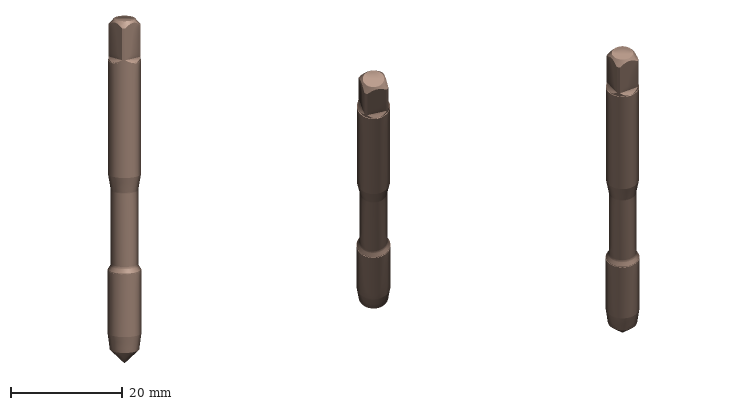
import cadquery as cq
import math

TOTAL_LENGTH = 64.3
LEAD_TOP = 5.7
HEAD_TOP = 17.45
COLLAR_TOP = 17.55
NECK_TOP = 32.4
SHANK_BOTTOM = 35.4
SHANK_TOP = 56.6
SQUARE_BOTTOM = 57.3

HEAD_RADIUS = 6.1 / 2
POINT_RADIUS = 5.35 / 2
SHANK_RADIUS = 6.0 / 2
NECK_RADIUS = 4.95 / 2
SQUARE_CORNER_RADIUS = 5.8 / 2
TOP_FACE_RADIUS = 3.85 / 2

COLLAR_CONE_ANGLE = 30.0
COLLAR_CONE_LENGTH = (SHANK_RADIUS - NECK_RADIUS) / math.tan(math.radians(COLLAR_CONE_ANGLE))
NECK_BOTTOM = COLLAR_TOP + COLLAR_CONE_LENGTH
NECK_FILLET = 0.8

SQUARE_WIDTH = 4.5
RUNOUT_DEPTH = 1.3
RUNOUT_HEIGHT = 1.35
TOP_CHAMFER_HEIGHT = 1.1


def revolve_profile(points):
    """Turn a closed (radius, height) outline around the Z axis."""
    return cq.Workplane("XZ").polyline(points).close().revolve(360, (0, 0), (0, 1))


def make_cutting_head():
    """Cylindrical head with a tapered lead and a 45 degree point."""
    return revolve_profile([
        (0, 0),
        (POINT_RADIUS, POINT_RADIUS),
        (HEAD_RADIUS, LEAD_TOP),
        (HEAD_RADIUS, HEAD_TOP),
        (0, HEAD_TOP),
    ])


def make_turned_shank():
    """Collar, neck, taper, round shank and the round blank of the square."""
    turned = revolve_profile([
        (0, HEAD_TOP),
        (SHANK_RADIUS, HEAD_TOP),
        (SHANK_RADIUS, COLLAR_TOP),
        (NECK_RADIUS, NECK_BOTTOM),
        (NECK_RADIUS, NECK_TOP),
        (SHANK_RADIUS, SHANK_BOTTOM),
        (SHANK_RADIUS, SHANK_TOP),
        (SQUARE_CORNER_RADIUS, SHANK_TOP),
        (SQUARE_CORNER_RADIUS, TOTAL_LENGTH - TOP_CHAMFER_HEIGHT),
        (TOP_FACE_RADIUS, TOTAL_LENGTH),
        (0, TOTAL_LENGTH),
    ])
    neck_circles = cq.selectors.RadiusNthSelector(1)
    return turned.edges(neck_circles).fillet(NECK_FILLET)


def make_square_envelope():
    """Square prism that widens downwards along the run-out slopes of its flats."""
    wide = SQUARE_WIDTH + 2 * RUNOUT_DEPTH
    runout_bottom = SQUARE_BOTTOM - RUNOUT_HEIGHT
    prism = (
        cq.Workplane("XY").workplane(offset=SQUARE_BOTTOM)
        .rect(SQUARE_WIDTH, SQUARE_WIDTH)
        .extrude(TOTAL_LENGTH - SQUARE_BOTTOM)
    )
    slopes = (
        cq.Workplane("XY").workplane(offset=runout_bottom)
        .rect(wide, wide)
        .workplane(offset=RUNOUT_HEIGHT)
        .rect(SQUARE_WIDTH, SQUARE_WIDTH)
        .loft(ruled=True)
    )
    lower_block = (
        cq.Workplane("XY").workplane(offset=HEAD_TOP)
        .rect(wide, wide)
        .extrude(runout_bottom - HEAD_TOP)
    )
    return lower_block.union(slopes).union(prism)


def make_shank():
    """Turned shank with its upper end cut to the driving square."""
    return make_turned_shank().intersect(make_square_envelope())


cutting_head = make_cutting_head()
shank = make_shank()

result = cq.Compound.makeCompound([cutting_head.val(), *shank.solids().vals()])